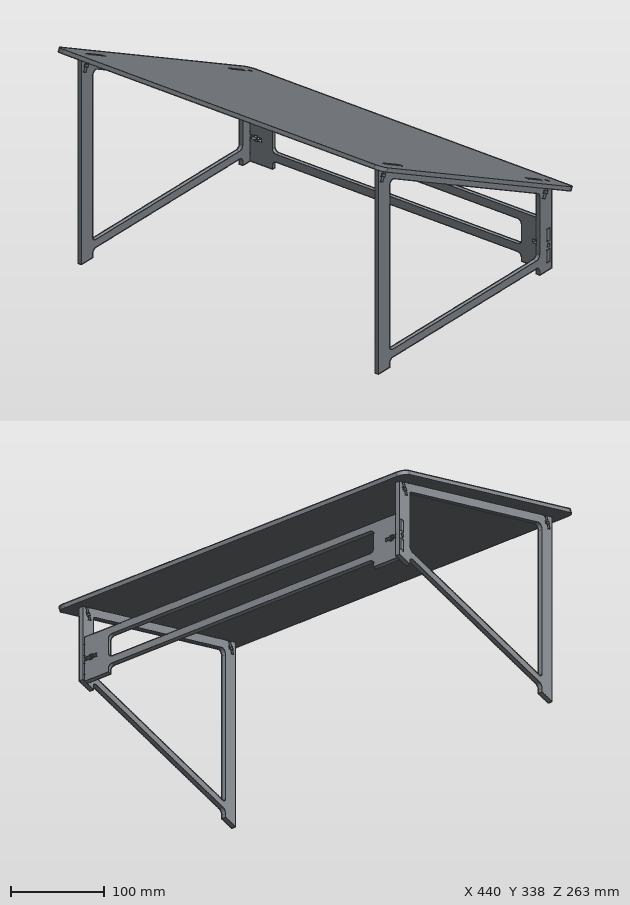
import cadquery as cq
import math

overall_width = 440.0
overall_depth = 338.0
overall_height = 263.0

thickness = 5.0
tilt = math.atan(0.5)
corner_radius = 10.0
sin_tilt = math.sin(tilt)
cos_tilt = math.cos(tilt)
top_length = (overall_depth - thickness * sin_tilt) / cos_tilt

raised_edge_y = -overall_depth / 2
raised_edge_z = overall_height - thickness * cos_tilt
low_edge_y = raised_edge_y + top_length * cos_tilt
low_edge_z = raised_edge_z - top_length * sin_tilt

frame_spacing = 400.0
frame_inner_x = (frame_spacing - thickness) / 2
tall_leg_outer_y = -151.5
tall_leg_width = 20.0
short_leg_outer_y = 150.0
short_leg_width = 21.0
slope_bar_width = 10.0
bar_width = 9.5
foot_height = 10.0
inner_radius = 5.5
tall_leg_inner_y = tall_leg_outer_y + tall_leg_width
short_leg_inner_y = short_leg_outer_y - short_leg_width
window_bottom = foot_height + bar_width

rail_height = 60.0
rail_setback = 3.5
rail_foot_width = 30.0
rail_mid_y = short_leg_outer_y - rail_setback - thickness / 2

rail_tab_length = 15.0
rail_tab_inset = 9.5
rail_tab_bottoms = [rail_tab_inset, rail_height - rail_tab_inset - rail_tab_length]
top_tab_length = 25.5
top_tab_starts = [40.0, 311.5]
top_bolt_runs = [27.0, 342.0]
bolt_diameter = 4.5
slot_depth = 15.0
nut_width = 7.0
nut_thickness = 3.0
nut_depth = 6.0

slope_plane = cq.Plane(
    origin=(0, low_edge_y, low_edge_z),
    xDir=(0, -cos_tilt, sin_tilt),
    normal=(0, sin_tilt, cos_tilt),
)


def underside_z(y):
    """Height of the tabletop underside at a given y."""
    return raised_edge_z - (y - raised_edge_y) * math.tan(tilt)


def on_slope(run, side):
    """Workplane on the tabletop underside, above the mid plane of the frame on one side (-1 or 1)."""
    return cq.Workplane(slope_plane).center(run, side * frame_spacing / 2)


def frame_prism(side, points):
    """Prism as thick as a side frame, over a YZ outline."""
    start_x = side * frame_spacing / 2 - thickness / 2
    return cq.Workplane("YZ", origin=(start_x, 0, 0)).polyline(points).close().extrude(thickness)


def top_tab(side, start):
    """Side frame tab that fills its mortise in the tabletop, flush with the top face."""
    return on_slope(start + top_tab_length / 2, side).rect(top_tab_length, thickness).extrude(thickness)


def rail_tab(side, bottom):
    """Rail tab that fills its mortise in a side frame, flush with the outer face."""
    return (
        cq.Workplane("XY", origin=(side * frame_spacing / 2, rail_mid_y, bottom))
        .rect(thickness, thickness)
        .extrude(rail_tab_length)
    )


def nut_slot(mouth):
    """Cross-shaped slot for a bolt and its nut; the mouth workplane faces out of the sheet edge."""
    shank = mouth.rect(bolt_diameter, thickness).extrude(-slot_depth)
    nut = mouth.workplane(offset=-nut_depth).rect(nut_width, thickness).extrude(-nut_thickness)
    return shank.union(nut)


def make_tabletop():
    top = (
        cq.Workplane(slope_plane)
        .center(top_length / 2, 0)
        .rect(top_length, overall_width)
        .extrude(thickness)
        .edges(cq.selectors.ParallelDirSelector(slope_plane.zDir))
        .fillet(corner_radius)
    )
    for side in (-1, 1):
        for start in top_tab_starts:
            top = top.cut(top_tab(side, start))
        for run in top_bolt_runs:
            top = top.cut(on_slope(run, side).circle(bolt_diameter / 2).extrude(thickness))
    return top


def make_side_frame(side):
    frame = frame_prism(
        side,
        [
            (tall_leg_outer_y, 0),
            (short_leg_outer_y, 0),
            (short_leg_outer_y, underside_z(short_leg_outer_y)),
            (tall_leg_outer_y, underside_z(tall_leg_outer_y)),
        ],
    )

    slope_bar_drop = slope_bar_width / cos_tilt
    window = frame_prism(
        side,
        [
            (tall_leg_inner_y, window_bottom),
            (short_leg_inner_y, window_bottom),
            (short_leg_inner_y, underside_z(short_leg_inner_y) - slope_bar_drop),
            (tall_leg_inner_y, underside_z(tall_leg_inner_y) - slope_bar_drop),
        ],
    )
    frame = frame.cut(window.edges("|X").fillet(inner_radius))

    clearance = frame_prism(
        side,
        [
            (tall_leg_inner_y, 0),
            (short_leg_inner_y, 0),
            (short_leg_inner_y, foot_height),
            (tall_leg_inner_y, foot_height),
        ],
    )
    frame = frame.cut(clearance.edges("|X and >Z").fillet(inner_radius))

    for start in top_tab_starts:
        frame = frame.union(top_tab(side, start))
    for run in top_bolt_runs:
        frame = frame.cut(nut_slot(on_slope(run, side)))

    for bottom in rail_tab_bottoms:
        frame = frame.cut(rail_tab(side, bottom))
    bolt_hole = (
        cq.Workplane("YZ", origin=(side * frame_spacing / 2, rail_mid_y, rail_height / 2))
        .circle(bolt_diameter / 2)
        .extrude(thickness / 2, both=True)
    )
    return frame.cut(bolt_hole)


def rail_block(width, height, bottom):
    """Block as thick as the rail, centred across the width."""
    return cq.Workplane("XY", origin=(0, rail_mid_y, bottom)).rect(width, thickness).extrude(height)


def make_rail():
    rail = rail_block(2 * frame_inner_x, rail_height, 0)

    opening_width = 2 * (frame_inner_x - rail_foot_width)
    window = rail_block(opening_width, rail_height - bar_width - window_bottom, window_bottom)
    rail = rail.cut(window.edges("|Y").fillet(inner_radius))
    clearance = rail_block(opening_width, foot_height, 0)
    rail = rail.cut(clearance.edges("|Y and >Z").fillet(inner_radius))

    for side in (-1, 1):
        for bottom in rail_tab_bottoms:
            rail = rail.union(rail_tab(side, bottom))
        mouth = cq.Plane(
            origin=(side * frame_inner_x, rail_mid_y, rail_height / 2),
            xDir=(0, 0, 1),
            normal=(side, 0, 0),
        )
        rail = rail.cut(nut_slot(cq.Workplane(mouth)))
    return rail


tabletop = make_tabletop()
side_frames = [make_side_frame(side) for side in (-1, 1)]
rail = make_rail()

result = cq.Compound.makeCompound(
    [
        tabletop.val(),
        *[frame.val() for frame in side_frames],
        rail.val(),
    ]
)